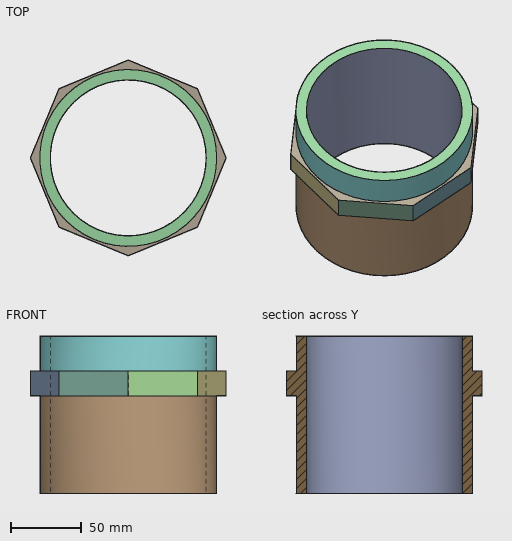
import cadquery as cq

across_corners = 138.5
total_height = 111.3
body_diameter = 125.0
collar_bottom = 69.1
collar_height = 17.6
bore_diameter = 110.0
collar_sides = 8

body = cq.Workplane("XY").circle(body_diameter / 2).extrude(total_height)

collar = (
    cq.Workplane("XY")
    .workplane(offset=collar_bottom)
    .polygon(collar_sides, across_corners)
    .extrude(collar_height)
)

bore = cq.Workplane("XY").circle(bore_diameter / 2).extrude(total_height)

result = body.union(collar).cut(bore)